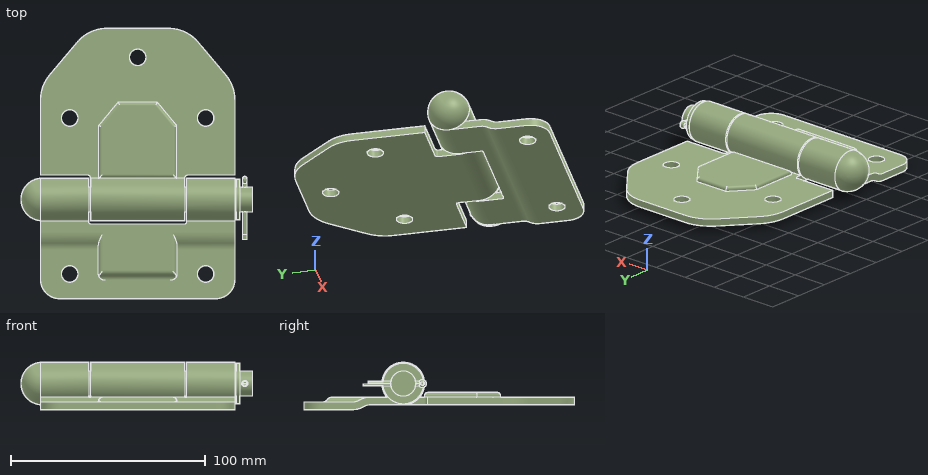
import cadquery as cq
import math


sheet = 4.0
barrel_radius = 11.0
pin_diameter = 12.9
pin_radius = pin_diameter / 2
hinge_width = 100.0
half_width = hinge_width / 2
sheet_bottom = -barrel_radius
sheet_top = sheet_bottom + sheet
floor_z = -2 * barrel_radius
leaf_gap = 12.5
slot_half_width = 25.0
knuckle_half_width = 24.2

hole_diameter = 8.3
hole_spacing = 69.8

wide_length = 88.0
wide_top_half_width = 25.0
wide_shoulder = 58.4
wide_corner_radius = 20.0
tab_corner_radius = 1.7
wide_side_hole_y = 41.8
wide_end_hole_y = 73.0
wide_emboss_half_width = 20.0
wide_emboss_top_half_width = 10.0
wide_emboss_start = 10.8
wide_emboss_shoulder = 38.0
wide_emboss_end = 50.0
wide_emboss_height = 2.5
wide_emboss_rounding = 2.0

narrow_length = 51.0
narrow_corner_radius = 10.0
slot_corner_radius = 0.8
narrow_hole_y = -38.2
offset_drop = 2.5
offset_start = 17.0
bend_angle = math.radians(28)
bend_inner_radius = 6.4
narrow_emboss_half_width = 20.3
narrow_emboss_rounding = 2.5
emboss_root = 0.7
narrow_emboss_top_end = 36.5
narrow_emboss_end = 41.4
narrow_emboss_corner_radius = 3.5

dome_height = 10.0
pin_end = half_width + 9.0
washer_radius = 10.4
washer_gap = 0.5
washer_thickness = 2.0
split_pin_x = half_width + 5.0
split_pin_hole_radius = 1.5
split_pin_radius = 1.18
split_pin_slit = 0.3
eye_outer_radius = 2.1
eye_inner_radius = eye_outer_radius - split_pin_radius
eye_centre_y = 9.9
short_leg_length = 18.1
long_leg_length = 20.6


def x_cylinder(radius, x_start, x_end):
    """Cylinder on the hinge axis."""
    return cq.Workplane("YZ").workplane(offset=x_start).circle(radius).extrude(x_end - x_start)


def drill_screw_holes(leaf, centres):
    """Plain holes through the sheet at the given X, Y centres."""
    drill_length = sheet_top - floor_z
    drills = (
        cq.Workplane("XY").workplane(offset=floor_z)
        .pushPoints(centres).circle(hole_diameter / 2).extrude(drill_length)
    )
    return leaf.cut(drills)


def side_hole_centres(y):
    return [(-hole_spacing / 2, y), (hole_spacing / 2, y)]


def wide_leaf_emboss():
    """Raised house-shaped panel with rounded top edges."""
    outline = [
        (-wide_emboss_half_width, wide_emboss_start),
        (wide_emboss_half_width, wide_emboss_start),
        (wide_emboss_half_width, wide_emboss_shoulder),
        (wide_emboss_top_half_width, wide_emboss_end),
        (-wide_emboss_top_half_width, wide_emboss_end),
        (-wide_emboss_half_width, wide_emboss_shoulder),
    ]
    panel = (
        cq.Workplane("XY").workplane(offset=sheet_top)
        .polyline(outline).close().extrude(wide_emboss_height)
    )
    return panel.faces(">Z").edges().fillet(wide_emboss_rounding)


def make_wide_leaf():
    """Tapered leaf with the middle knuckle."""
    outline = [
        (-half_width, leaf_gap),
        (-knuckle_half_width, leaf_gap),
        (-knuckle_half_width, 0),
        (knuckle_half_width, 0),
        (knuckle_half_width, leaf_gap),
        (half_width, leaf_gap),
        (half_width, wide_shoulder),
        (wide_top_half_width, wide_length),
        (-wide_top_half_width, wide_length),
        (-half_width, wide_shoulder),
    ]
    plate = cq.Workplane("XY").workplane(offset=sheet_bottom).polyline(outline).close().extrude(sheet)
    tapered_corners = cq.selectors.BoxSelector(
        (-wide_length, leaf_gap + sheet, floor_z), (wide_length, 2 * wide_length, 0)
    )
    plate = plate.edges("|Z").edges(tapered_corners).fillet(wide_corner_radius)
    tab_corners = cq.selectors.BoxSelector(
        (-slot_half_width, leaf_gap / 2, floor_z), (slot_half_width, leaf_gap * 2, 0)
    )
    plate = plate.edges("|Z").edges(tab_corners).fillet(tab_corner_radius)

    leaf = plate.union(wide_leaf_emboss())
    leaf = leaf.union(x_cylinder(barrel_radius, -knuckle_half_width, knuckle_half_width))
    leaf = leaf.cut(x_cylinder(pin_radius, -knuckle_half_width, knuckle_half_width))
    return drill_screw_holes(leaf, side_hole_centres(wide_side_hole_y) + [(0, wide_end_hole_y)])


def region_below_offset_face(face_z, first_radius, second_radius):
    """Everything below a face that runs to -Y and steps down through two opposite bends."""
    bend_sine = math.sin(bend_angle)
    bend_rise = 1 - math.cos(bend_angle)
    slope_drop = offset_drop - (first_radius + second_radius) * bend_rise
    slope_run = slope_drop / math.tan(bend_angle)
    slope_start_y = -offset_start - first_radius * bend_sine
    slope_start_z = face_z - first_radius * bend_rise
    slope_end_y = slope_start_y - slope_run
    offset_end_y = slope_end_y - second_radius * bend_sine
    return (
        cq.Workplane("YZ").workplane(offset=-half_width)
        .moveTo(0, face_z)
        .lineTo(-offset_start, face_z)
        .tangentArcPoint((slope_start_y, slope_start_z), relative=False)
        .lineTo(slope_end_y, slope_start_z - slope_drop)
        .tangentArcPoint((offset_end_y, face_z - offset_drop), relative=False)
        .lineTo(-narrow_length, face_z - offset_drop)
        .lineTo(-narrow_length, floor_z)
        .lineTo(0, floor_z)
        .close()
        .extrude(2 * half_width)
    )


def offset_sheet():
    """Stepped sheet of even thickness with rounded free corners."""
    outer_radius = bend_inner_radius + sheet
    below_top = region_below_offset_face(sheet_top, outer_radius, bend_inner_radius)
    below_bottom = region_below_offset_face(sheet_bottom, bend_inner_radius, outer_radius)
    plate = below_top.cut(below_bottom)
    return plate.faces("<Y").edges("|Z").fillet(narrow_corner_radius)


def narrow_leaf_emboss():
    """Panel that carries the upper level past the step, with round sides and an S-shaped end."""
    low_z = sheet_top - offset_drop
    end_middle_y = -(narrow_emboss_top_end + narrow_emboss_end) / 2
    end_middle_z = sheet_top - offset_drop / 2
    side_view = (
        cq.Workplane("YZ").workplane(offset=-narrow_emboss_half_width)
        .moveTo(-offset_start, sheet_top)
        .lineTo(-narrow_emboss_top_end, sheet_top)
        .tangentArcPoint((end_middle_y, end_middle_z), relative=False)
        .tangentArcPoint((-narrow_emboss_end, low_z), relative=False)
        .lineTo(-narrow_emboss_end, low_z - emboss_root)
        .lineTo(-offset_start, low_z - emboss_root)
        .close()
        .extrude(2 * narrow_emboss_half_width)
    )
    block_height = offset_drop + emboss_root
    block_length = narrow_emboss_end - offset_start
    rounded_block = (
        cq.Workplane("XY")
        .box(2 * narrow_emboss_half_width, block_length, block_height)
        .translate((0, -offset_start - block_length / 2, sheet_top - block_height / 2))
        .edges("|Z and <Y").fillet(narrow_emboss_corner_radius)
    )
    rounded_block = rounded_block.faces(">Z").edges("not >Y").fillet(narrow_emboss_rounding)
    return side_view.intersect(rounded_block)


def make_narrow_leaf():
    """Stepped leaf with the two outer knuckles and a slot for the middle knuckle."""
    slot = (
        cq.Workplane("XY")
        .box(2 * slot_half_width, 2 * leaf_gap, 4 * barrel_radius)
        .edges("|Z").fillet(slot_corner_radius)
    )
    leaf = offset_sheet().union(narrow_leaf_emboss()).cut(slot)
    for x_start in (-half_width, slot_half_width):
        leaf = leaf.union(x_cylinder(barrel_radius, x_start, x_start + half_width - slot_half_width))
    leaf = leaf.cut(x_cylinder(pin_radius, -half_width, half_width))
    return drill_screw_holes(leaf, side_hole_centres(narrow_hole_y))


def dome_arc_middle():
    """Point half way along the spherical cap's profile."""
    cap_radius = (barrel_radius**2 + dome_height**2) / (2 * dome_height)
    half_angle = math.asin(barrel_radius / cap_radius) / 2
    centre_x = -half_width - dome_height + cap_radius
    return (centre_x - cap_radius * math.cos(half_angle), cap_radius * math.sin(half_angle))


def make_pin():
    """Pin with a domed head and a cross hole near its plain end."""
    dome = (
        cq.Workplane("XY").moveTo(-half_width, 0)
        .lineTo(-half_width - dome_height, 0)
        .threePointArc(dome_arc_middle(), (-half_width, barrel_radius))
        .close()
        .revolve(360, (0, 0, 0), (1, 0, 0))
    )
    shank = x_cylinder(pin_radius, -half_width, pin_end)
    cross_hole = (
        cq.Workplane("XZ").center(split_pin_x, 0).circle(split_pin_hole_radius)
        .extrude(pin_radius, both=True)
    )
    return dome.union(shank).cut(cross_hole)


def make_washer():
    """Flat washer on the pin, beside the last knuckle."""
    start = half_width + washer_gap
    end = start + washer_thickness
    return x_cylinder(washer_radius, start, end).cut(x_cylinder(pin_radius, start, end))


def split_pin_leg(length, side):
    """Half-round leg from the eye to -Y; side is +1 above the slit and -1 below it."""
    flat_z = side * split_pin_slit / 2
    return (
        cq.Workplane("XZ", origin=(split_pin_x, eye_centre_y - eye_inner_radius, 0))
        .moveTo(-split_pin_radius, flat_z)
        .threePointArc((0, side * split_pin_radius), (split_pin_radius, flat_z))
        .close()
        .extrude(length + eye_centre_y - eye_inner_radius)
    )


def make_split_pin():
    """Half-round wire: a round eye on the +Y side and two legs of unequal length."""
    eye = (
        cq.Workplane("XY", origin=(split_pin_x, eye_centre_y, 0))
        .moveTo(-split_pin_radius, eye_inner_radius)
        .threePointArc((0, eye_outer_radius), (split_pin_radius, eye_inner_radius))
        .close()
        .revolve(360, (0, 0, 0), (1, 0, 0))
    )
    return eye.union(split_pin_leg(short_leg_length, 1)).union(split_pin_leg(long_leg_length, -1))


wide_leaf = make_wide_leaf()
narrow_leaf = make_narrow_leaf()
pin = make_pin()
washer = make_washer()
split_pin = make_split_pin()

result = cq.Compound.makeCompound(
    [wide_leaf.val(), narrow_leaf.val(), pin.val(), washer.val(), split_pin.val()]
)